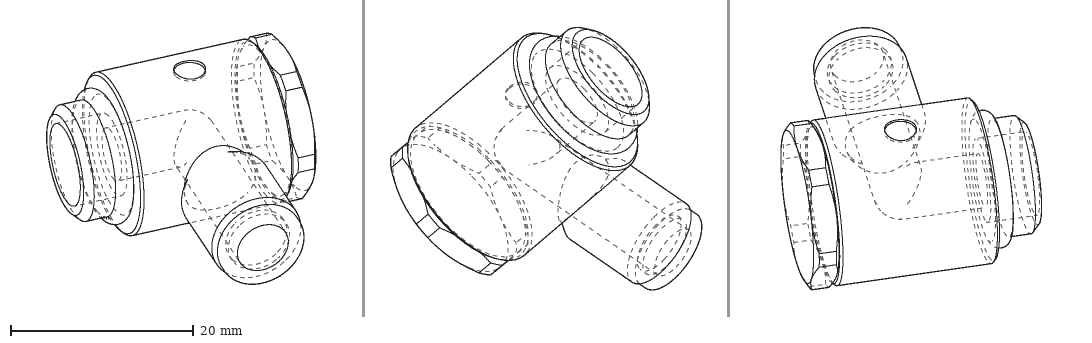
import cadquery as cq
import math


body_radius = 9.21
body_length = 17.95
body_edge_chamfer = 0.3

hex_across_flats = 17.0
hex_corner_radius = 9.3
hex_thickness = 2.85
hex_chamfer_angle = 30.0

spigot_radius = 6.58
spigot_length = 5.45
spigot_chamfer = 0.9
ring_outer_radius = 7.65
ring_section_radius = 1.03
ring_overlap = 0.02

port_center_y = 9.2
neck_radius = 4.2
sleeve_radius = 5.25
neck_end_x = 9.45
shoulder_angle = 33.0
shoulder_blend_radius = 0.75
sleeve_end_x = 20.39
stem_radius = 3.6
collet_start_x = 21.19
collet_end_x = 22.41
collet_radius = 4.95
collet_back_radius = 0.2
collet_mouth_radius = 0.3

passage_radius = 3.0
counterbore_radius = 4.65
counterbore_depth = 5.5

recess_radius = 1.75
recess_depth = 0.4


def cylinder_along_y(radius, start, end):
    """Cylinder on the body axis between two Y stations."""
    direction = cq.Vector(0, 1, 0)
    return cq.Workplane(cq.Solid.makeCylinder(radius, end - start, cq.Vector(0, start, 0), direction))


def cylinder_along_x(radius, start, end):
    """Cylinder on the port axis between two X stations."""
    base = cq.Vector(start, port_center_y, 0)
    return cq.Workplane(cq.Solid.makeCylinder(radius, end - start, base, cq.Vector(1, 0, 0)))


def make_body():
    body = cylinder_along_y(body_radius, 0, body_length)
    return body.faces("<Y or >Y").edges().chamfer(body_edge_chamfer)


def make_hex_head():
    """Hexagon with truncated corners, chamfered on both sides down to its flats."""
    flat_radius = hex_across_flats / 2
    chamfer_drop = hex_corner_radius - flat_radius
    chamfer_height = chamfer_drop * math.tan(math.radians(hex_chamfer_angle))
    head_end = body_length + hex_thickness
    hexagon = (
        cq.Workplane("XZ", origin=(0, head_end, 0))
        .polygon(6, hex_across_flats / math.cos(math.pi / 6))
        .extrude(hex_thickness)
    )
    turned_blank = (
        cq.Workplane("XY")
        .moveTo(0, body_length)
        .lineTo(flat_radius, body_length)
        .lineTo(hex_corner_radius, body_length + chamfer_height)
        .lineTo(hex_corner_radius, head_end - chamfer_height)
        .lineTo(flat_radius, head_end)
        .lineTo(0, head_end)
        .close()
        .revolve(360, (0, 0, 0), (0, 1, 0))
    )
    return hexagon.intersect(turned_blank)


def make_spigot():
    spigot = cylinder_along_y(spigot_radius, -spigot_length, 0)
    return spigot.faces("<Y").edges().chamfer(spigot_chamfer)


def make_sealing_ring():
    center_radius = ring_outer_radius - ring_section_radius
    center_y = ring_overlap - ring_section_radius
    return (
        cq.Workplane("XY")
        .center(center_radius, center_y)
        .circle(ring_section_radius)
        .revolve(360, (-center_radius, 0, 0), (-center_radius, 1, 0))
    )


def make_port_sleeve():
    """Neck, conical shoulder and sleeve, with both ends of the cone blended."""
    shoulder_length = (sleeve_radius - neck_radius) / math.tan(math.radians(shoulder_angle))
    shoulder_end_x = neck_end_x + shoulder_length
    sleeve = (
        cq.Workplane("XY", origin=(0, port_center_y, 0))
        .lineTo(0, neck_radius)
        .lineTo(neck_end_x, neck_radius)
        .lineTo(shoulder_end_x, sleeve_radius)
        .lineTo(sleeve_end_x, sleeve_radius)
        .lineTo(sleeve_end_x, 0)
        .close()
        .revolve(360, (0, 0, 0), (1, 0, 0))
    )
    return sleeve.faces("%CONE").edges("%CIRCLE").fillet(shoulder_blend_radius)


def make_collet():
    """Release ring at the port mouth, standing on a narrower stem."""
    flange = cylinder_along_x(collet_radius, collet_start_x, collet_end_x)
    flange = flange.faces("<X").edges().fillet(collet_back_radius)
    flange = flange.faces(">X").edges().fillet(collet_mouth_radius)
    stem = cylinder_along_x(stem_radius, sleeve_end_x, collet_start_x)
    return stem.union(flange)


def make_passages():
    """Elbow passage: a counterbored spigot bore turning into the port bore on a sphere."""
    spigot_bore = cylinder_along_y(passage_radius, -spigot_length, port_center_y)
    counterbore = cylinder_along_y(counterbore_radius, -spigot_length, counterbore_depth - spigot_length)
    port_bore = cylinder_along_x(passage_radius, 0, collet_end_x)
    elbow = cq.Workplane("XY", origin=(0, port_center_y, 0)).sphere(passage_radius)
    return spigot_bore.union(elbow).union(port_bore).union(counterbore)


def make_marking_recess():
    floor_z = body_radius - recess_depth
    base = cq.Vector(0, port_center_y, floor_z)
    return cq.Workplane(cq.Solid.makeCylinder(recess_radius, recess_depth, base))


result = (
    make_body()
    .union(make_hex_head())
    .union(make_spigot())
    .union(make_sealing_ring())
    .union(make_port_sleeve())
    .union(make_collet())
    .cut(make_passages())
    .cut(make_marking_recess())
)